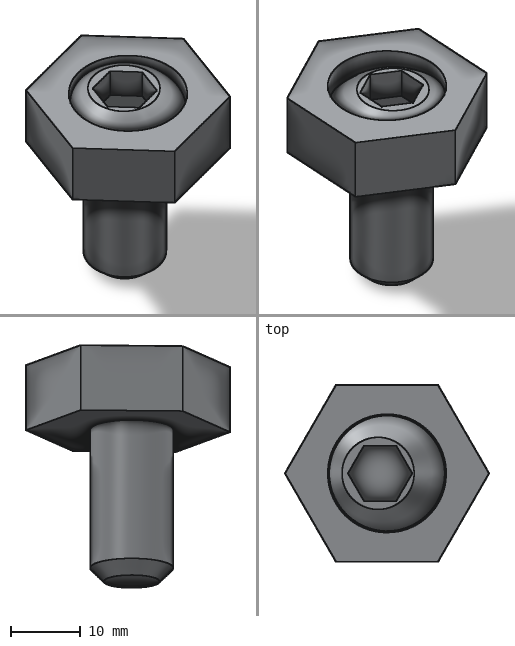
import cadquery as cq
import math

total_height = 32.0
hex_height = 9.6
hex_across_flats = 25.4

recess_radius = 8.5
recess_depth = 6.4

eccentricity = 1.0
shank_radius = 6.0
tip_chamfer = 2.0
head_radius = 8.3
head_dome_radius = 12.48
head_face_radius = 5.2
head_face_offset = 1.28
socket_across_flats = 8.0
socket_depth = 4.48

hex_bottom = total_height - hex_height
recess_floor = total_height - recess_depth


def across_corners(across_flats):
    """Corner-to-corner size of a regular hexagon."""
    return across_flats / math.cos(math.pi / 6)


def make_shank():
    """Eccentric cylinder from the screw tip up to the underside of the head."""
    return (
        cq.Workplane("XY")
        .center(-eccentricity, 0)
        .circle(shank_radius)
        .extrude(recess_floor)
    )


def make_hex_collar():
    """Hexagonal collar with a head recess and an eccentric shank hole."""
    collar = (
        cq.Workplane("XY", origin=(0, 0, hex_bottom))
        .polygon(6, across_corners(hex_across_flats))
        .extrude(hex_height)
    )
    recess = (
        cq.Workplane("XY", origin=(0, 0, recess_floor))
        .circle(recess_radius)
        .extrude(recess_depth)
    )
    return collar.cut(recess).cut(make_shank())


def make_head_dome():
    """Sphere centred under the eccentric flat face of the head."""
    dome_centre = total_height - math.sqrt(head_dome_radius**2 - head_face_radius**2)
    return cq.Workplane("XY", origin=(-head_face_offset, 0, dome_centre)).sphere(head_dome_radius)


def make_screw():
    """Eccentric screw with an eccentric domed head top and a hexagon socket."""
    shank = make_shank().faces("<Z").chamfer(tip_chamfer)
    head_cylinder = (
        cq.Workplane("XY", origin=(0, 0, recess_floor))
        .circle(head_radius)
        .extrude(recess_depth)
    )
    head = head_cylinder.intersect(make_head_dome())
    socket = (
        cq.Workplane("XY", origin=(-eccentricity, 0, total_height - socket_depth))
        .polygon(6, across_corners(socket_across_flats))
        .extrude(socket_depth)
    )
    return shank.union(head).cut(socket)


hex_collar = make_hex_collar()
screw = make_screw()
result = cq.Compound.makeCompound([hex_collar.val(), screw.val()])